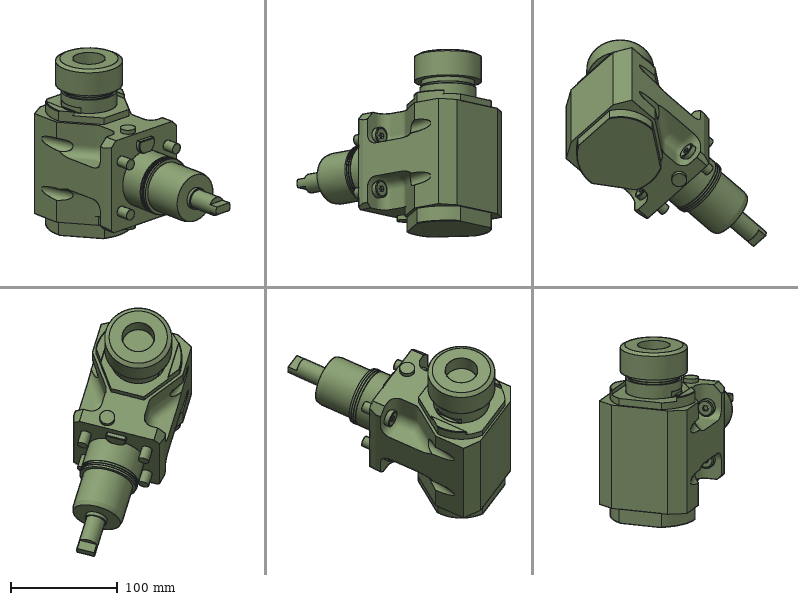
import cadquery as cq
import math


HOUSING_LEFT = -112.2
HOUSING_TOP = 47.5
HEAD_BOTTOM = -53.2
ARM_BOTTOM = -44.5
HALF_WIDTH = 44.0
FRONT_BEVEL_X = 9.0
FRONT_BEVEL_Y = 15.8

SPINDLE_X = -75.2
HUB_RADIUS = 41.0
HUB_BACK = SPINDLE_X + HUB_RADIUS
DIAGONAL_ANGLE = 35.0
HEAD_WALL_OFFSET = 37.5
PLATE_WALL_OFFSET = 34.5

FLANGE_THICKNESS = 13.2
FLANGE_CORNER_CHAMFER = 7.7
FLANGE_TAPER_LENGTH = 8.0
FLANGE_TAPER_DEPTH = 2.2
WEB_HALF_THICKNESS = 21.0
POCKET_FLOOR = 15.8
POCKET_RADIUS = 10.0

SCREW_Y = 29.7
SCREW_Z = 25.3
SCREW_HEAD_RADIUS = 8.1
SCREW_HEAD_HEIGHT = 5.3
SCREW_BEVEL_LENGTH = 1.3
SCREW_BEVEL_DEPTH = 0.5
SCREW_SOCKET_SIZE = 5.7
SCREW_SOCKET_DEPTH = 2.6
SCREW_SHANK_RADIUS = 5.0
SCREW_TIP_X = 12.8
SCOOP_RADIUS = 6.0
SCOOP_ANGLE = 15.0
SCOOP_LENGTH = 70.5
SCOOP_END_X = -35.2
SCOOP_END_Y = 34.5

PIN_X = -9.5
PIN_Y = -11.9
PIN_DIAMETER = 14.0
PIN_TOP = 51.5
PIN_BOTTOM = -48.6
KEY_RADIUS = 10.0
KEY_CENTER_Z = 35.6
KEY_TOP = 40.0
KEY_LENGTH = 4.2
KEY_CHAMFER = 0.7

HUB_BOTTOM = -67.5
FRONT_FLAT_X = -110.2
RIM_BEVEL = 0.7
PLATE_TOP = 54.1
SEAT_DEPTH = 0.7
PLATE_RIGHT = -37.8
LIP_TOP = 57.9
LIP_INNER_Y = 32.5
RING_RADIUS = 26.5
RING_TOP = 67.5
RING_FLAT_HALF_WIDTH = 22.9
RING_FLAT_TOP = 59.2
NECK_GROOVE_RADIUS = 24.2
NECK_GROOVE_TOP = 69.5
NECK_RADIUS = 25.0
NUT_BOTTOM = 74.0
NUT_TOP = 99.2
NUT_RADIUS = 31.5
NUT_BEVEL_HEIGHT = 2.2
NUT_BEVEL_DEPTH = 4.2
BORE_RADIUS = 15.2
BORE_DEPTH = 15.2

SHANK_BODY_END = 69.5
SHANK_STEPS = [
    (23.8, 27.5),
    (26.2, 26.8),
    (28.4, 27.7),
    (30.5, 27.3),
    (SHANK_BODY_END, 24.2),
    (73.0, 10.3),
    (107.8, 9.0),
]
SHANK_BEVEL_START = 65.1
SHANK_BEVEL_RADIUS = 23.0
TANG_START = 98.8
TANG_THICKNESS = 8.0

ANGLE = math.radians(DIAGONAL_ANGLE)
SIDES = (1, -1)


def diagonal_x(offset, y):
    """X of a slanted wall at a given Y, the wall lying at offset from the spindle axis."""
    return SPINDLE_X + (offset - y * math.cos(ANGLE)) / math.sin(ANGLE)


def prism(points, bottom, top):
    return cq.Workplane("XY").workplane(offset=bottom).polyline(points).close().extrude(top - bottom)


def mirrored_prism(half_points, bottom, top):
    """Prism whose outline is half_points (from left to right) and their mirror in Y."""
    mirrored = [(x, -y) for x, y in reversed(half_points)]
    return prism(half_points + mirrored, bottom, top)


def block(start, end, half_width, bottom, top):
    return prism([(start, -half_width), (end, -half_width), (end, half_width), (start, half_width)], bottom, top)


def spindle_cylinder(radius, bottom, top):
    return cq.Workplane("XY").workplane(offset=bottom).center(SPINDLE_X, 0).circle(radius).extrude(top - bottom)


def x_cylinder(radius, start, end, y=0, z=0):
    return cq.Workplane("YZ").workplane(offset=start).center(y, z).circle(radius).extrude(end - start)


def make_head():
    """Block around the spindle with bevelled front, slanted rear walls and a round back."""
    back_angle = math.pi / 2 - ANGLE - math.acos(HEAD_WALL_OFFSET / HUB_RADIUS)
    back_corner_x = SPINDLE_X + HUB_RADIUS * math.cos(back_angle)
    back_corner_y = HUB_RADIUS * math.sin(back_angle)
    bevel_end_x = HOUSING_LEFT + FRONT_BEVEL_X
    front_half_width = HALF_WIDTH - FRONT_BEVEL_Y
    side_end_x = diagonal_x(HEAD_WALL_OFFSET, HALF_WIDTH)
    return (
        cq.Workplane("XY").workplane(offset=HEAD_BOTTOM)
        .moveTo(HOUSING_LEFT, front_half_width)
        .lineTo(bevel_end_x, HALF_WIDTH)
        .lineTo(side_end_x, HALF_WIDTH)
        .lineTo(back_corner_x, back_corner_y)
        .threePointArc((HUB_BACK, 0), (back_corner_x, -back_corner_y))
        .lineTo(side_end_x, -HALF_WIDTH)
        .lineTo(bevel_end_x, -HALF_WIDTH)
        .lineTo(HOUSING_LEFT, -front_half_width)
        .close()
        .extrude(HOUSING_TOP - HEAD_BOTTOM)
    )


def make_arm():
    """Arm and flange before the side pockets: chamfered long corners, sides tapered at the end."""
    arm = block(SPINDLE_X, 0, HALF_WIDTH, -HOUSING_TOP, HOUSING_TOP).edges("|X").chamfer(FLANGE_CORNER_CHAMFER)
    tapered_outline = [
        (SPINDLE_X, HALF_WIDTH),
        (-FLANGE_TAPER_LENGTH, HALF_WIDTH),
        (0, HALF_WIDTH - FLANGE_TAPER_DEPTH),
    ]
    return arm.intersect(mirrored_prism(tapered_outline, ARM_BOTTOM, HOUSING_TOP))


def make_pocket():
    """Upper +Y side pocket, rounded where its walls and floor meet."""
    outer_y = 1.5 * HALF_WIDTH
    outline = [
        (diagonal_x(HEAD_WALL_OFFSET, outer_y), outer_y),
        (diagonal_x(HEAD_WALL_OFFSET, WEB_HALF_THICKNESS), WEB_HALF_THICKNESS),
        (-FLANGE_THICKNESS, WEB_HALF_THICKNESS),
        (-FLANGE_THICKNESS, outer_y),
    ]
    pocket = prism(outline, POCKET_FLOOR, 1.5 * HOUSING_TOP)
    pocket = pocket.edges("|Z and <Y").fillet(POCKET_RADIUS)
    return pocket.faces("<Z").edges("not >Y").fillet(POCKET_RADIUS)


def make_scoop():
    """Upper +Y round scoop that slants in from the side towards the flange screw."""
    angle = math.radians(SCOOP_ANGLE)
    end = cq.Vector(SCOOP_END_X, SCOOP_END_Y, SCREW_Z)
    outward = cq.Vector(-math.cos(angle), math.sin(angle), 0)
    return cq.Workplane(cq.Solid.makeCylinder(SCOOP_RADIUS, SCOOP_LENGTH, end, outward))


def make_screw(y, z):
    """Socket head screw through the flange, its head in front and its tip behind."""
    head_front = -FLANGE_THICKNESS - SCREW_HEAD_HEIGHT
    head = x_cylinder(SCREW_HEAD_RADIUS, head_front, -FLANGE_THICKNESS, y, z)
    head = head.faces("<X").edges().chamfer(SCREW_BEVEL_DEPTH, SCREW_BEVEL_LENGTH)
    socket = (
        cq.Workplane("YZ").workplane(offset=head_front).center(y, z)
        .polygon(6, SCREW_SOCKET_SIZE).extrude(SCREW_SOCKET_DEPTH)
    )
    return head.cut(socket).union(x_cylinder(SCREW_SHANK_RADIUS, -FLANGE_THICKNESS, SCREW_TIP_X, y, z))


def make_disc(back_x, bottom, top, bevelled_face):
    """Disc on the spindle axis with a front flat, slanted rear walls and its back ending at back_x."""
    back_y = (PLATE_WALL_OFFSET - (back_x - SPINDLE_X) * math.sin(ANGLE)) / math.cos(ANGLE)
    outline = [
        (FRONT_FLAT_X, HUB_RADIUS),
        (diagonal_x(PLATE_WALL_OFFSET, HUB_RADIUS), HUB_RADIUS),
        (back_x, back_y),
    ]
    disc = spindle_cylinder(HUB_RADIUS, bottom, top).faces(bevelled_face).edges().chamfer(RIM_BEVEL)
    return disc.intersect(mirrored_prism(outline, bottom, top))


def make_plate():
    """Top plate with a raised lip along both sides and a shallow round seat for the ring."""
    plate = make_disc(PLATE_RIGHT, HOUSING_TOP, LIP_TOP, ">Z")
    plate = plate.cut(block(HOUSING_LEFT, 0, LIP_INNER_Y, PLATE_TOP, LIP_TOP))
    return plate.cut(spindle_cylinder(RING_RADIUS, PLATE_TOP - SEAT_DEPTH, PLATE_TOP))


def make_spindle():
    """Ring with two wrench flats, grooved neck and bevelled nut with a blind bore."""
    ring = spindle_cylinder(RING_RADIUS, HOUSING_TOP, RING_FLAT_TOP)
    ring = ring.intersect(block(HOUSING_LEFT, 0, RING_FLAT_HALF_WIDTH, HOUSING_TOP, RING_FLAT_TOP))
    ring = ring.union(spindle_cylinder(RING_RADIUS, RING_FLAT_TOP, RING_TOP))
    neck = spindle_cylinder(NECK_GROOVE_RADIUS, RING_TOP, NECK_GROOVE_TOP)
    neck = neck.union(spindle_cylinder(NECK_RADIUS, NECK_GROOVE_TOP, NUT_BOTTOM))
    nut = spindle_cylinder(NUT_RADIUS, NUT_BOTTOM, NUT_TOP)
    nut = nut.faces(">Z").edges().chamfer(NUT_BEVEL_HEIGHT, NUT_BEVEL_DEPTH)
    nut = nut.cut(spindle_cylinder(BORE_RADIUS, NUT_TOP - BORE_DEPTH, NUT_TOP))
    return ring.union(neck).union(nut)


def make_shank():
    """Stepped shank behind the flange, ending in a flat drive tang."""
    profile = [(0, 0)]
    start = 0
    for end, radius in SHANK_STEPS:
        if end == SHANK_BODY_END:
            profile += [(start, radius), (SHANK_BEVEL_START, radius), (end, SHANK_BEVEL_RADIUS)]
        else:
            profile += [(start, radius), (end, radius)]
        start = end
    profile.append((start, 0))
    shank = cq.Workplane("XY").polyline(profile).close().revolve(360, (0, 0, 0), (1, 0, 0))
    shaft_radius = SHANK_STEPS[-1][1]
    for side in SIDES:
        low, high = sorted((side * TANG_THICKNESS / 2, side * 2 * shaft_radius))
        shank = shank.cut(block(TANG_START, start, shaft_radius, low, high))
    return shank


def make_pin():
    """Locating pin standing out of the top and bottom of the flange."""
    return (
        cq.Workplane("XY").workplane(offset=PIN_BOTTOM).center(PIN_X, PIN_Y)
        .circle(PIN_DIAMETER / 2).extrude(PIN_TOP - PIN_BOTTOM)
    )


def make_key():
    """Round key behind the flange, flattened on top and resting on the pilot."""
    key = x_cylinder(KEY_RADIUS, 0, KEY_LENGTH, 0, KEY_CENTER_Z)
    key = key.intersect(block(0, KEY_LENGTH, KEY_RADIUS, 0, KEY_TOP))
    return key.faces(">X").edges().chamfer(KEY_CHAMFER)


result = make_head().union(make_arm())

for tool in (make_pocket(), make_scoop()):
    side_pair = tool.union(tool.mirror("XZ"))
    result = result.cut(side_pair).cut(side_pair.mirror("XY"))

for y_side in SIDES:
    for z_side in SIDES:
        result = result.union(make_screw(y_side * SCREW_Y, z_side * SCREW_Z))

result = (
    result
    .union(make_disc(HUB_BACK, HUB_BOTTOM, HEAD_BOTTOM, "<Z"))
    .union(make_plate())
    .union(make_spindle())
    .union(make_shank())
    .union(make_pin())
    .union(make_key())
)